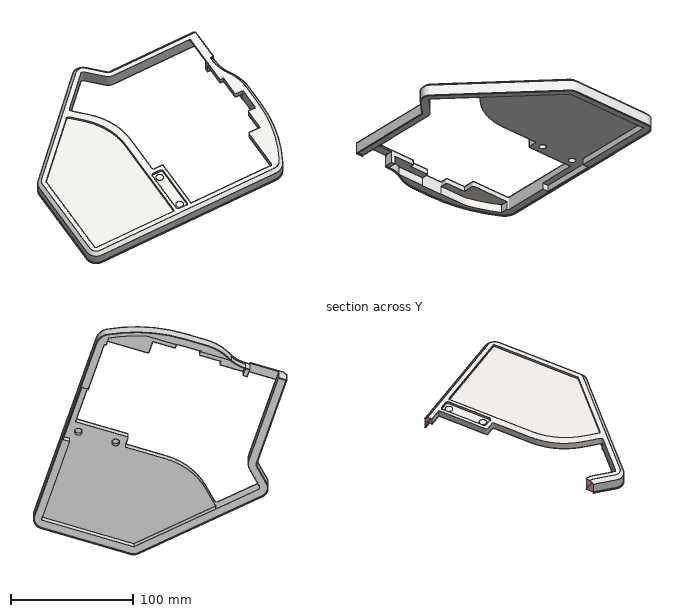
import cadquery as cq
import math

WIDTH = 175.0
LENGTH = 200.5
HEIGHT = 13.0
CHAMFER = 3.0
WALL = 7.0
CORNER_R = 9.0
SQRT2 = math.sqrt(2)
BEND_TANGENT = math.tan(math.pi / 8)

TIP_X = CORNER_R * (1 - SQRT2)
TIP_Y = 89.4
LEFT_X = 16.0
BACK_Y = 190.5
NECK_R = 2.0
HUMP_START_X = 51.1
HUMP_FLAT_X1 = 88.2
HUMP_FLAT_X2 = 107.2
HUMP_R = 42.0
BACK_ARC_R = 129.3
BACK_CORNER_R = 12.0

NOTCH_R = 1.0
OPENING_R = 2.0
STRIP_Y = 182.8
PLATE_Y = 186.0
NOTCH_Y = 193.2
SHELF_Y = 175.0
STEP_X = 71.4
NOTCH_X1 = 90.2
NOTCH_X2 = 110.6
SHELF_X = 129.9
TAB_X = 122.5

BORDER = 2.8
TRAY_RIM = 6.5
TRAY_BACK_Y = 82.2
ARC_R = 56.1
DIAGONAL_OFFSET = 24.9
RECESS_DEPTH = 2.0
TAB_RECESS_LENGTH = 41.9
TAB_RECESS_WIDTH = 10.2
TAB_RECESS_R = 1.8
MAGNET_D = 6.2
MAGNET_SPACING = 32.0
MAGNET_SKIN = 0.2
FRONT_PLATE = 6.2

BACK_PLATE = 4.6
FLAP = 1.6
POST_X = 47.7
POST_WIDTH = 3.6
UNDER_WALL = 4.0
THIN_WALL = 0.6
HOLLOW_BACK_Y = 192.8
HOLLOW_END_X = 166.4
LIP_WALL = 0.56
LIP_DEPTH = 1.0
SLOT_WALL = 1.5
SLOT_END_Y = 132.0
OVER = 2.0
PICK = 0.1

inner_right = WIDTH - WALL
inner_left = LEFT_X + WALL
tray_edge_y = TRAY_BACK_Y + TRAY_RIM
tab_y = TRAY_BACK_Y + 2 * BORDER + TAB_RECESS_WIDTH
run = HUMP_FLAT_X1 - HUMP_START_X
rise = LENGTH - BACK_Y
blend_r = (run**2 + rise**2) / (2 * rise) - HUMP_R
back_arc_y = LENGTH - BACK_ARC_R


def prism(profile, z0, z1):
    return profile.extrude(z1 - z0).translate((0, 0, z0))


def block(x0, x1, y0, y1, z0, z1):
    return cq.Workplane("XY").box(x1 - x0, y1 - y0, z1 - z0, centered=False).translate((x0, y0, z0))


def fillet_corners(body, radius, points):
    """Round the vertical edges that stand at the given plan points."""
    for x, y in points:
        box = cq.selectors.BoxSelector((x - PICK, y - PICK, -LENGTH), (x + PICK, y + PICK, LENGTH))
        body = body.edges("|Z").edges(box).fillet(radius)
    return body


def back_arc_point(x):
    return x, back_arc_y + math.sqrt(BACK_ARC_R**2 - (x - HUMP_FLAT_X2) ** 2)


def outer_body():
    share = blend_r / (blend_r + HUMP_R)
    blend_end = (HUMP_START_X + share * run, BACK_Y + share * rise)
    front_corner = (TIP_X + TIP_Y, 0)
    neck = (LEFT_X, TIP_Y + LEFT_X - TIP_X)
    back_corner = back_arc_point(WIDTH)
    body = (
        cq.Workplane("XY")
        .moveTo(TIP_X, TIP_Y)
        .lineTo(*front_corner)
        .lineTo(WIDTH, 0)
        .lineTo(*back_corner)
        .threePointArc(back_arc_point((WIDTH + HUMP_FLAT_X2) / 2), (HUMP_FLAT_X2, LENGTH))
        .lineTo(HUMP_FLAT_X1, LENGTH)
        .radiusArc(blend_end, -HUMP_R)
        .radiusArc((HUMP_START_X, BACK_Y), blend_r)
        .lineTo(LEFT_X, BACK_Y)
        .lineTo(*neck)
        .close()
        .extrude(HEIGHT)
    )
    body = fillet_corners(body, CORNER_R, [(TIP_X, TIP_Y), front_corner, (WIDTH, 0)])
    body = fillet_corners(body, BACK_CORNER_R, [back_corner])
    body = fillet_corners(body, NECK_R, [neck])
    body = body.faces(">Z").edges().chamfer(CHAMFER)
    square_edge = block(LEFT_X, POST_X, BACK_Y - 2 * CHAMFER, BACK_Y, 0, HEIGHT)
    return body.union(square_edge.edges("<X and >Z").chamfer(CHAMFER))


def inner_diagonal():
    """x + y of the diagonal wall's inner face."""
    return TIP_X + TIP_Y + WALL * SQRT2


def diagonal_corner(offset):
    """Where the line y = x + offset meets the inner face of the diagonal wall."""
    return (inner_diagonal() - offset) / 2, (inner_diagonal() + offset) / 2


def curved_edge(profile, y, offset):
    """Follow the straight edge at y, the arc into the line y = x + offset, and that line to the wall."""
    x = y - offset + ARC_R * BEND_TANGENT
    arc_end = (x - ARC_R / SQRT2, y - ARC_R * (1 - 1 / SQRT2))
    return profile.lineTo(x, y).radiusArc(arc_end, -ARC_R).lineTo(*diagonal_corner(offset))


def opening():
    tip_offset = TIP_Y - TIP_X - WALL * SQRT2
    tip = diagonal_corner(tip_offset)
    neck = (inner_left, inner_left + tip_offset)
    profile = (
        cq.Workplane("XY")
        .moveTo(*neck)
        .lineTo(inner_left, STRIP_Y)
        .lineTo(STEP_X, STRIP_Y)
        .lineTo(STEP_X, PLATE_Y)
        .lineTo(NOTCH_X1, PLATE_Y)
        .lineTo(NOTCH_X1, NOTCH_Y)
        .lineTo(NOTCH_X2, NOTCH_Y)
        .lineTo(NOTCH_X2, PLATE_Y)
        .lineTo(SHELF_X, PLATE_Y)
        .lineTo(SHELF_X, SHELF_Y)
        .lineTo(inner_right, SHELF_Y)
        .lineTo(inner_right, tab_y)
        .lineTo(TAB_X, tab_y)
        .lineTo(TAB_X, tray_edge_y)
    )
    profile = curved_edge(profile, tray_edge_y, DIAGONAL_OFFSET)
    body = prism(profile.lineTo(*tip).close(), -OVER, HEIGHT + OVER)
    notch_corners = [(x, y) for x in (NOTCH_X1, NOTCH_X2) for y in (PLATE_Y, NOTCH_Y)]
    plate_corners = [(inner_left, STRIP_Y), (SHELF_X, SHELF_Y), (inner_right, SHELF_Y)]
    tab_corners = [(TAB_X, tab_y), (TAB_X, tray_edge_y)]
    body = fillet_corners(body, NOTCH_R, notch_corners + plate_corners + tab_corners)
    body = fillet_corners(body, OPENING_R, [diagonal_corner(DIAGONAL_OFFSET), tip])
    return fillet_corners(body, NECK_R + WALL, [neck])


def tray():
    front_left = (inner_diagonal() - WALL, WALL)
    profile = cq.Workplane("XY").moveTo(*front_left).lineTo(inner_right, WALL)
    profile = profile.lineTo(inner_right, TRAY_BACK_Y)
    offset = DIAGONAL_OFFSET - TRAY_RIM * SQRT2
    body = prism(curved_edge(profile, TRAY_BACK_Y, offset).close(), HEIGHT - RECESS_DEPTH, HEIGHT + OVER)
    body = fillet_corners(body, NOTCH_R, [(inner_right, WALL), (inner_right, TRAY_BACK_Y)])
    return fillet_corners(body, OPENING_R, [diagonal_corner(offset)])


def tab_recess():
    """Recess in the top of the tab, with magnet holes from below ending just under its floor."""
    x = inner_right - TAB_RECESS_LENGTH / 2
    y = TRAY_BACK_Y + BORDER + TAB_RECESS_WIDTH / 2
    floor = HEIGHT - RECESS_DEPTH
    recess = prism(cq.Workplane("XY").rect(TAB_RECESS_LENGTH, TAB_RECESS_WIDTH), floor, HEIGHT + OVER)
    recess = recess.edges("|Z").fillet(TAB_RECESS_R)
    holes = cq.Workplane("XY").rarray(MAGNET_SPACING, 2, 2, 1).circle(MAGNET_D / 2)
    return recess.union(prism(holes, -OVER, floor - MAGNET_SKIN)).translate((x, y, 0))


def front_hollow():
    """Hollow under the tray and the tab."""
    corner = diagonal_corner(DIAGONAL_OFFSET)
    points = [
        (inner_diagonal() - WALL, WALL),
        (inner_right, WALL),
        (inner_right, tab_y + OVER),
        (corner[0], tab_y + OVER),
        corner,
    ]
    profile = cq.Workplane("XY").polyline(points).close()
    return prism(profile, -OVER, HEIGHT - FRONT_PLATE)


def side_slot():
    """Slot in the right wall, running back from the front hollow."""
    outer_x = WIDTH - SLOT_WALL
    return block(inner_right - OVER, outer_x, TRAY_BACK_Y, SLOT_END_Y, -OVER, HEIGHT - FRONT_PLATE)


def back_hollow():
    """Hollow under the back plate, following the back arc and the concave arc by the post."""
    top = HEIGHT - BACK_PLATE
    hollow = block(POST_X + POST_WIDTH, HOLLOW_END_X, SHELF_Y - OVER, HOLLOW_BACK_Y, -OVER, top)
    long_disc = cq.Workplane("XY").center(HUMP_FLAT_X2, back_arc_y).circle(BACK_ARC_R - UNDER_WALL)
    left_part = block(0, HUMP_FLAT_X2, SHELF_Y - OVER, HOLLOW_BACK_Y, -OVER, top)
    blend_disc = cq.Workplane("XY").center(HUMP_START_X, BACK_Y + blend_r).circle(blend_r + THIN_WALL)
    hollow = hollow.intersect(prism(long_disc, -OVER, top).union(left_part))
    return hollow.cut(prism(blend_disc, -OVER, top))


def flap_window():
    """Window under the thin flap at the left of the back edge, open to the back."""
    return block(inner_left, POST_X, STRIP_Y - OVER, BACK_Y + OVER, -OVER, HEIGHT - FLAP)


def lip_recess(body):
    """Recess over the whole underside that leaves a thin lip along the outline."""
    outline = body.faces("<Z").wires().toPending()
    return outline.offset2D(-LIP_WALL).extrude(LIP_DEPTH, combine=False)


result = outer_body()
cutters = [
    lip_recess(result),
    opening(),
    tray(),
    tab_recess(),
    front_hollow(),
    side_slot(),
    back_hollow(),
    flap_window(),
]
for cutter in cutters:
    result = result.cut(cutter)